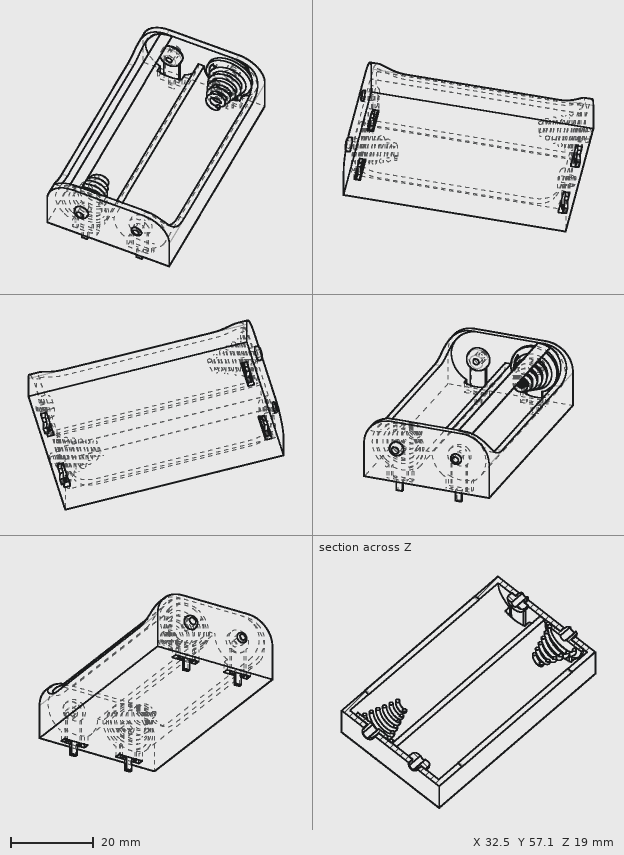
import cadquery as cq
import math

LENGTH = 54.75
WIDTH = 32.5
HEIGHT = 16.0
WALL = 1.5
CORNER_RADIUS = 7.0

BAY_RADIUS = 7.0
BAY_X = WIDTH / 2 - WALL - BAY_RADIUS
AXIS_Z = HEIGHT - BAY_RADIUS
INNER_HALF_LENGTH = LENGTH / 2 - WALL

STRAP_WIDTH = 3.15
STRAP_THICKNESS = 0.1

PLATE_THICKNESS = 0.85
TAB_WIDTH = 4.0
PIN_WIDTH = 1.5
PIN_LENGTH = 3.0
SLOT_WIDTH = 6.5
SLOT_DEPTH = 1.5

BUTTON_DIAMETER = 5.6
BUTTON_HEIGHT = 2.05
BUTTON_FILLET = 1.1
POSITIVE_RIVET_DIAMETER = 2.65
POSITIVE_RIVET_REACH = 0.4
POSITIVE_RIVET_FILLET = 0.38
POSITIVE_BORE = 1.5

DISC_DIAMETER = 12.0
NEGATIVE_RIVET_DIAMETER = 3.5
NEGATIVE_RIVET_REACH = 1.16
NEGATIVE_RIVET_FILLET = 0.84
NEGATIVE_BORE = 1.8

WIRE_DIAMETER = 1.0
SPRING_TIP_RADIUS = 1.38
SPRING_PITCH = 1.67
SPRING_TURNS = 5.6
SPRING_TIP_Y = 9.92
SPRING_GROWTH = 0.6

FRONT_NEGATIVE_X = -7.0
FRONT_POSITIVE_X = 7.55
REAR_NEGATIVE_X = 7.7
REAR_POSITIVE_X = -7.7
REAR_POSITIVE_INSET = 0.15


def rod(diameter, start, end):
    """Cylinder on the contact axis between two Y positions."""
    return cq.Workplane("XZ", origin=(0, start, 0)).circle(diameter / 2).extrude(start - end)


def tab_and_pin():
    """Tab from the contact axis to the housing's underside, and the narrower pin below it."""
    tab = cq.Workplane("XY").box(TAB_WIDTH, PLATE_THICKNESS, AXIS_Z, centered=(True, False, False))
    pin = cq.Workplane("XY").box(PIN_WIDTH, PLATE_THICKNESS, PIN_LENGTH, centered=(True, False, False))
    return tab.translate((0, 0, -AXIS_Z)).union(pin.translate((0, 0, -AXIS_Z - PIN_LENGTH)))


def positive_blank():
    """Button, rivet, tab and pin before the bore is made."""
    rivet = rod(POSITIVE_RIVET_DIAMETER, -WALL - POSITIVE_RIVET_REACH, 0)
    rivet = rivet.faces("<Y").edges().fillet(POSITIVE_RIVET_FILLET)
    button = rod(BUTTON_DIAMETER, 0, BUTTON_HEIGHT).faces(">Y").edges().fillet(BUTTON_FILLET)
    return button.union(rivet).union(tab_and_pin())


def positive_contact():
    return positive_blank().cut(rod(POSITIVE_BORE, -WALL - POSITIVE_RIVET_REACH, BUTTON_HEIGHT))


def negative_blank():
    """Round plate, rivet, tab and pin before the bore and the spring's groove are made."""
    rivet = rod(NEGATIVE_RIVET_DIAMETER, -WALL - NEGATIVE_RIVET_REACH, 0)
    rivet = rivet.faces("<Y").edges().fillet(NEGATIVE_RIVET_FILLET)
    return rod(DISC_DIAMETER, 0, PLATE_THICKNESS).union(rivet).union(tab_and_pin())


def negative_contact():
    bore = rod(NEGATIVE_BORE, -WALL - NEGATIVE_RIVET_REACH, PLATE_THICKNESS)
    return negative_blank().cut(bore).cut(spring())


def spring():
    """Conical spring whose wide end sinks into the negative plate, its tip towards the battery."""
    slant_pitch = math.hypot(SPRING_PITCH, SPRING_GROWTH)
    cone_angle = math.degrees(math.atan2(SPRING_GROWTH, SPRING_PITCH))
    path = cq.Wire.makeHelix(slant_pitch, slant_pitch * SPRING_TURNS, SPRING_TIP_RADIUS, angle=cone_angle)
    section = cq.Workplane("XZ", origin=(SPRING_TIP_RADIUS, 0, 0)).circle(WIRE_DIAMETER / 2)
    coil = section.sweep(cq.Workplane(path), isFrenet=True)
    coil = coil.rotate((0, 0, 0), (1, 0, 0), 90).rotate((0, 0, 0), (0, 1, 0), 180)
    return coil.translate((0, SPRING_TIP_Y, 0))


def at_front(part, x):
    return part.translate((x, -INNER_HALF_LENGTH, AXIS_Z))


def at_rear(part, x, inset=0.0):
    turned = part.rotate((0, 0, 0), (0, 0, 1), 180)
    return turned.translate((x, INNER_HALF_LENGTH + inset, AXIS_Z))


def floor_slot():
    slot = cq.Workplane("XY").box(SLOT_WIDTH, SLOT_DEPTH, AXIS_Z, centered=(True, False, False))
    return slot.translate((0, 0, -AXIS_Z))


def along_inside(sketch):
    """Extrude an XZ sketch over the full inside length."""
    return sketch.extrude(INNER_HALF_LENGTH, both=True)


def housing_block():
    block = cq.Workplane("XY").box(WIDTH, LENGTH, HEIGHT, centered=(True, True, False))
    return block.edges("|Y and >Z").fillet(CORNER_RADIUS)


def bays():
    """Both battery cylinders and the open space between them above the middle ridge."""
    ridge_half_width = BAY_X - BAY_RADIUS
    side_x = BAY_X + BAY_RADIUS
    floor_z = AXIS_Z - BAY_RADIUS
    diagonal = BAY_RADIUS * math.sqrt(0.5)
    return along_inside(
        cq.Workplane("XZ")
        .moveTo(-BAY_X, HEIGHT)
        .threePointArc((-BAY_X - diagonal, AXIS_Z + diagonal), (-side_x, AXIS_Z))
        .threePointArc((-BAY_X, floor_z), (-ridge_half_width, AXIS_Z))
        .lineTo(ridge_half_width, AXIS_Z)
        .threePointArc((BAY_X, floor_z), (side_x, AXIS_Z))
        .threePointArc((BAY_X + diagonal, AXIS_Z + diagonal), (BAY_X, HEIGHT))
        .close()
    )


def side_openings():
    """Cut over the side walls, rising to the end walls in concave arcs."""
    flat_end = INNER_HALF_LENGTH - CORNER_RADIUS
    arc_mid = CORNER_RADIUS * math.sqrt(0.5)
    sketch = (
        cq.Workplane("YZ")
        .moveTo(-INNER_HALF_LENGTH, HEIGHT)
        .threePointArc((-flat_end - arc_mid, HEIGHT - arc_mid), (-flat_end, AXIS_Z))
        .lineTo(flat_end, AXIS_Z)
        .threePointArc((flat_end + arc_mid, HEIGHT - arc_mid), (INNER_HALF_LENGTH, HEIGHT))
        .close()
    )
    return sketch.extrude(WIDTH / 2, both=True)


def retaining_strap():
    """Thin arc over the left bay, from the bay's crown towards the outer side."""
    ring = along_inside(
        cq.Workplane("XZ").center(-BAY_X, AXIS_Z).circle(BAY_RADIUS).circle(BAY_RADIUS - STRAP_THICKNESS)
    )
    span = along_inside(
        cq.Workplane("XZ").center(-BAY_X - STRAP_WIDTH / 2, HEIGHT).rect(STRAP_WIDTH, BAY_RADIUS)
    )
    return ring.intersect(span)


def place_contacts(negative, positive):
    """Put copies of both kinds of contact at their places on the two end walls."""
    return [
        at_front(negative, FRONT_NEGATIVE_X),
        at_front(positive, FRONT_POSITIVE_X),
        at_rear(negative, REAR_NEGATIVE_X),
        at_rear(positive, REAR_POSITIVE_X, REAR_POSITIVE_INSET),
    ]


def housing_body():
    """Housing with floor slots for the tabs, and wall holes that match the contacts."""
    body = housing_block().cut(bays()).cut(side_openings())
    for x in (FRONT_NEGATIVE_X, FRONT_POSITIVE_X):
        body = body.cut(at_front(floor_slot(), x))
    for x in (REAR_NEGATIVE_X, REAR_POSITIVE_X):
        body = body.cut(at_rear(floor_slot(), x))
    for blank in place_contacts(negative_blank(), positive_blank()):
        body = body.cut(blank)
    return body


housing = housing_body()
strap = retaining_strap()

contacts = place_contacts(negative_contact(), positive_contact())
springs = [at_front(spring(), FRONT_NEGATIVE_X), at_rear(spring(), REAR_NEGATIVE_X)]

result = cq.Compound.makeCompound(
    [solid for body in [housing, strap] + contacts + springs for solid in body.solids().vals()]
)